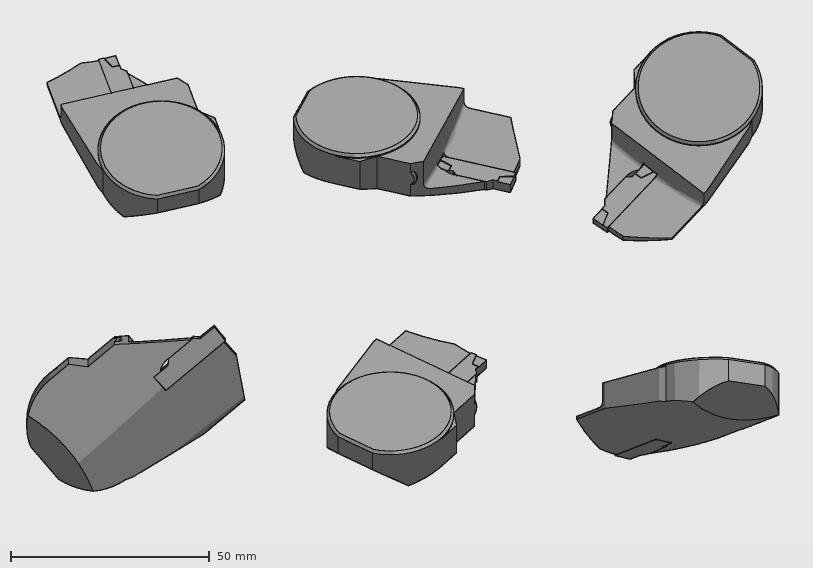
import cadquery as cq

length = 56.1
total_height = 14.0
base_bottom = 0.15
base_top = 13.0

disc_radius = 16.0
disc_x = 41.05
disc_chamfer = 0.7

underside_radius = 35.9
blade_top_radius = 49.35
blade_tip_top = 2.8
blade_start = 0.7
wall_x = 19.45
wall_fillet = 1.5

near_side_y = -20.0
far_side_y = 12.55
nose_corner_y = -9.25
nose_chamfer_x = 6.95
near_side_end_x = 20.65
near_taper_end_y = -16.6
near_facet_x = 43.0
near_facet_y = -15.9
lug_foot_x = 31.2
lug_corner_x = lug_foot_x + disc_radius - far_side_y
slant_top_x = 22.3
slant_foot_x = 6.5

relief_height = 7.8

plug_radius = 3.1
plug_x = 23.9
plug_z = 8.2
plug_chamfer = 0.5
plug_depth = 4.5

insert_length = 19.9
insert_near_y = -4.5
insert_far_y = 0.1
insert_top = 2.9
insert_heel = 0.35
end_clearance = 0.15
hump_y = 1.35
hump_length = 8.1
hump_slope = hump_y - insert_far_y
tip_length = 3.5
tip_straight_y = -1.8
tip_corner_y = -3.05
tip_depth = 0.3

seat_roof = 4.05
seat_relief_end_x = 17.8
seat_relief_mid_x = 16.25
seat_relief_mid_y = 1.0


def cylinder_along_x(radius, bottom):
    """Long cylinder along X whose lowest line is at the given height."""
    return (
        cq.Workplane("YZ", origin=(-length, 0, 0))
        .center(0, bottom + radius)
        .circle(radius)
        .extrude(3 * length)
    )


def make_holder_block():
    """Holder outline with its round rear end, up to the base top."""
    outline = [
        (blade_start, insert_far_y),
        (blade_start, nose_corner_y),
        (nose_chamfer_x, near_side_y),
        (near_side_end_x, near_side_y),
        (disc_x, near_taper_end_y),
        (near_facet_x, near_facet_y),
        (disc_x, disc_radius),
        (lug_corner_x, disc_radius),
        (lug_foot_x, far_side_y),
        (slant_top_x, far_side_y),
        (slant_foot_x, hump_y),
        (slant_foot_x, insert_far_y),
    ]
    block = cq.Workplane("XY").polyline(outline).close().extrude(base_top)
    rear = cq.Workplane("XY").center(disc_x, 0).circle(disc_radius).extrude(base_top)
    return block.union(rear).intersect(cylinder_along_x(underside_radius, base_bottom))


def make_blade_clearance():
    """Space above the blade, with a rounded lower edge along the wall."""
    front_box = cq.Workplane("XY").box(
        wall_x + length, 2 * length, total_height, centered=(False, True, False)
    ).translate((-length, 0, 0))
    clearance = front_box.intersect(cylinder_along_x(blade_top_radius, blade_tip_top))
    return clearance.faces(">X").edges("<Z").fillet(wall_fillet)


def make_disc():
    """Chamfered disc that rises above the base."""
    return (
        cq.Workplane("XY", origin=(disc_x, 0, base_top))
        .circle(disc_radius)
        .extrude(total_height - base_top)
        .faces(">Z")
        .chamfer(disc_chamfer)
    )


def make_rear_cut():
    """Everything behind the rear flat, its top chamfer and the sloped relief."""
    relief_foot_x = length - relief_height
    profile = [
        (relief_foot_x, 0),
        (length, relief_height),
        (length, total_height - disc_chamfer),
        (length - disc_chamfer, total_height),
        (2 * length, total_height),
        (2 * length, 0),
    ]
    return cq.Workplane("XZ").polyline(profile).close().extrude(length, both=True)


def make_plug():
    """Round plug with a chamfered end flush with the far side."""
    return (
        cq.Workplane("XZ", origin=(plug_x, far_side_y, plug_z))
        .circle(plug_radius)
        .extrude(plug_depth)
        .faces(">Y")
        .chamfer(plug_chamfer)
    )


def make_seat():
    """Seat through the blade, with a relief behind the insert hump."""
    hump_end_x = (insert_length + hump_length) / 2
    return (
        cq.Workplane("XY")
        .moveTo(0, insert_near_y)
        .lineTo(insert_length, insert_near_y)
        .lineTo(insert_length, insert_far_y)
        .lineTo(seat_relief_end_x, insert_far_y)
        .threePointArc((seat_relief_mid_x, seat_relief_mid_y), (hump_end_x, hump_y))
        .lineTo(0, hump_y)
        .close()
        .extrude(seat_roof)
    )


def make_holder():
    holder = make_holder_block().cut(make_blade_clearance())
    holder = holder.union(make_disc()).cut(make_rear_cut())
    return holder.union(make_plug()).cut(make_seat())


def make_tip_pocket():
    """Shallow chip pocket in the top of the front cutting tip."""
    outline = [
        (0, insert_far_y),
        (tip_length, insert_far_y),
        (tip_length, tip_straight_y),
        (end_clearance, tip_corner_y),
        (0, tip_corner_y),
    ]
    return (
        cq.Workplane("XY", origin=(0, 0, insert_top - tip_depth))
        .polyline(outline)
        .close()
        .extrude(2 * tip_depth)
    )


def make_insert():
    """Two-ended insert with a central hump and a sloped underside."""
    middle_x = insert_length / 2
    hump_start_x = middle_x - hump_length / 2
    hump_end_x = middle_x + hump_length / 2
    outline = [
        (end_clearance, insert_near_y),
        (insert_length - end_clearance, insert_near_y),
        (insert_length, insert_far_y),
        (hump_end_x + hump_slope, insert_far_y),
        (hump_end_x, hump_y),
        (hump_start_x, hump_y),
        (hump_start_x - hump_slope, insert_far_y),
        (0, insert_far_y),
    ]
    section = [
        (insert_near_y, insert_heel),
        (insert_far_y, 0),
        (hump_y, base_bottom),
        (hump_y, insert_top),
        (insert_near_y, insert_top),
    ]
    insert = cq.Workplane("XY").polyline(outline).close().extrude(insert_top)
    insert = insert.intersect(cq.Workplane("YZ").polyline(section).close().extrude(insert_length))
    front_pocket = make_tip_pocket()
    rear_pocket = front_pocket.mirror("YZ", (middle_x, 0, 0))
    return insert.cut(front_pocket).cut(rear_pocket)


holder = make_holder()
insert = make_insert()
result = cq.Compound.makeCompound([holder.solids().val(), insert.solids().val()])